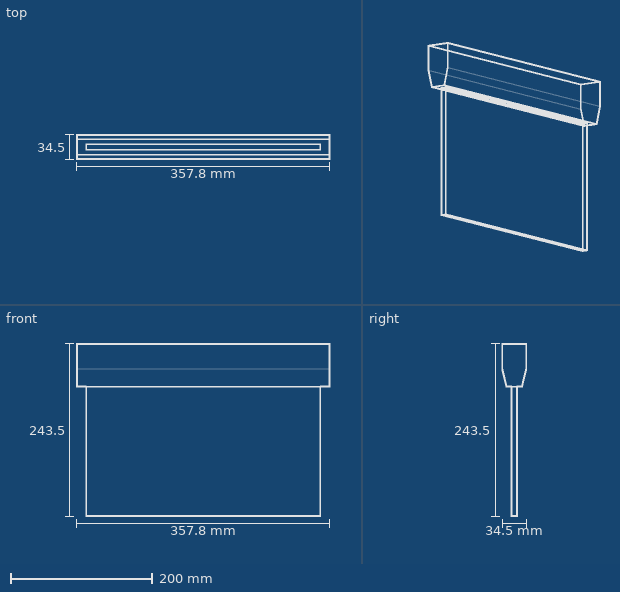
import cadquery as cq

housing_length = 357.8
housing_depth = 34.5
housing_base_depth = 22.2
housing_height = 60.5
taper_height = 25.0

panel_width = 331.5
panel_thickness = 8.0
total_height = 243.5
panel_height = total_height - housing_height


def make_housing():
    """Extrude the tapered end profile along X, with its base at Z = 0."""
    half_depth = housing_depth / 2
    half_base = housing_base_depth / 2
    profile = [
        (-half_base, 0),
        (half_base, 0),
        (half_depth, taper_height),
        (half_depth, housing_height),
        (-half_depth, housing_height),
        (-half_depth, taper_height),
    ]
    return (
        cq.Workplane("YZ")
        .polyline(profile)
        .close()
        .extrude(housing_length / 2, both=True)
    )


def make_panel():
    """Plate centred under the housing, with its top edge at Z = 0."""
    return cq.Workplane("XY").box(
        panel_width, panel_thickness, panel_height, centered=(True, True, False)
    ).translate((0, 0, -panel_height))


result = make_housing().union(make_panel())